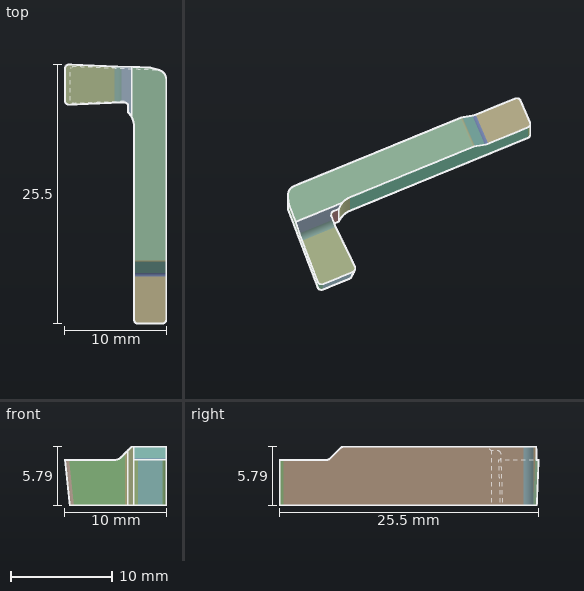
import cadquery as cq
import math

length_x = 10.0
length_y = 25.55
height = 5.79

shank_width = 3.2
shank_left = length_x - shank_width
shank_end_radius = 0.4

blend_radius = 2.0
blend_angle = math.radians(45)
blend_start_y = 19.43
shoulder_x = shank_left - blend_radius * (1 - math.cos(blend_angle))
shoulder_y = blend_start_y + blend_radius * math.sin(blend_angle)
inner_corner_radius = 0.3

bevel_start_x = 8.4
bevel_slope = math.tan(math.radians(15))
outer_corner_radius = 1.0

cut_height = 4.49
head_width = 4.02
side_taper = math.tan(math.radians(2.5))
side_relief = math.tan(math.radians(2))
tip_relief = math.tan(math.radians(6))
tip_radius = 0.4
tip_back_y = length_y + tip_radius * side_taper
tip_front_y = tip_back_y - head_width
head_middle_y = (tip_front_y + tip_back_y) / 2

ramp_run = height - cut_height
head_ramp_foot_x = 5.28
head_ramp_foot_radius = 1.0
shank_ramp_foot_y = 4.84
shank_ramp_foot_radius = 0.5
shank_ramp_top_radius = 0.3

clearance = 1.0


def head_outline(z):
    """Corners of the head section at level z; tip and sides lean inward going down."""
    rise = z - cut_height
    tip_x = -rise * tip_relief

    def side_offset(x):
        return rise * side_relief - x * side_taper

    return [
        (tip_x, tip_front_y - side_offset(tip_x)),
        (length_x, tip_front_y - side_offset(length_x)),
        (length_x, tip_back_y + side_offset(length_x)),
        (tip_x, tip_back_y + side_offset(tip_x)),
    ]


def flat_face(corners):
    """Flat face bounded by straight edges between the corners."""
    return cq.Face.makeFromWires(cq.Wire.makePolygon(corners, close=True))


def make_head():
    """Solid between the bottom and top head sections, bounded by flat faces."""
    bottom = [cq.Vector(x, y, 0) for x, y in head_outline(0)]
    top = [cq.Vector(x, y, height) for x, y in head_outline(height)]
    faces = [flat_face(bottom), flat_face(top)]
    for i in range(len(bottom)):
        faces.append(flat_face([bottom[i - 1], bottom[i], top[i], top[i - 1]]))
    return cq.Workplane(cq.Solid.makeSolid(cq.Shell.makeShell(faces)))


def make_shank():
    """Shank, blend and shoulder, reaching up to the middle of the head."""
    half_angle = blend_angle / 2
    blend_middle = (
        shank_left - blend_radius * (1 - math.cos(half_angle)),
        blend_start_y + blend_radius * math.sin(half_angle),
    )
    return (
        cq.Workplane("XY")
        .moveTo(shank_left, 0)
        .lineTo(length_x, 0)
        .lineTo(length_x, head_middle_y)
        .lineTo(shoulder_x, head_middle_y)
        .lineTo(shoulder_x, shoulder_y)
        .threePointArc(blend_middle, (shank_left, blend_start_y))
        .close()
        .extrude(height)
    )


def bevel_y(x):
    """Back edge of the bevel at x, continued as a straight line."""
    start_y = tip_back_y + ramp_run * side_relief - bevel_start_x * side_taper
    return start_y - (x - bevel_start_x) * bevel_slope


def cut_outer_bevel(body):
    far_x = length_x + clearance
    far_y = length_y + clearance
    near_x = bevel_start_x - clearance
    cutter = (
        cq.Workplane("XY")
        .moveTo(near_x, bevel_y(near_x))
        .lineTo(far_x, bevel_y(far_x))
        .lineTo(far_x, far_y)
        .lineTo(near_x, far_y)
        .close()
        .extrude(height)
    )
    return body.cut(cutter)


def round_upright_edge(body, x, y, radius):
    """Round the upright edge whose midpoint is nearest to (x, y)."""
    edge = cq.selectors.NearestToPointSelector((x, y, height / 2))
    return body.edges("%LINE").edges("not(#Z)").edges(edge).fillet(radius)


def round_upright_edges(body):
    body = round_upright_edge(body, shoulder_x, tip_front_y, inner_corner_radius)
    body = round_upright_edge(body, length_x, bevel_y(length_x), outer_corner_radius)
    for y in (tip_front_y, tip_back_y):
        body = round_upright_edge(body, 0, y, tip_radius)
    for x in (shank_left, length_x):
        body = round_upright_edge(body, x, 0, shank_end_radius)
    return body


def head_step_cutter():
    """Space above the head: flat floor, rounded foot, 45 degree ramp."""
    ramp_reach = ramp_run + clearance
    cutter = (
        cq.Workplane("XZ", origin=(0, length_y + clearance, 0))
        .moveTo(-clearance, cut_height)
        .lineTo(head_ramp_foot_x, cut_height)
        .lineTo(head_ramp_foot_x + ramp_reach, cut_height + ramp_reach)
        .lineTo(-clearance, cut_height + ramp_reach)
        .close()
        .extrude(length_y + 2 * clearance)
    )
    foot = cq.selectors.NearestToPointSelector((head_ramp_foot_x, length_y / 2, cut_height))
    return cutter.edges("|Y").edges(foot).fillet(head_ramp_foot_radius)


def cut_shank_step(body):
    """Lower the free end of the shank, with a ramp rounded at foot and top."""
    ramp_reach = ramp_run + clearance
    cutter = (
        cq.Workplane("YZ")
        .moveTo(-clearance, cut_height)
        .lineTo(shank_ramp_foot_y, cut_height)
        .lineTo(shank_ramp_foot_y + ramp_reach, cut_height + ramp_reach)
        .lineTo(-clearance, cut_height + ramp_reach)
        .close()
        .extrude(length_x + clearance)
    )
    middle_x = (shank_left + length_x) / 2
    foot = cq.selectors.NearestToPointSelector((middle_x, shank_ramp_foot_y, cut_height))
    top = cq.selectors.NearestToPointSelector((middle_x, shank_ramp_foot_y + ramp_run, height))
    body = body.cut(cutter)
    body = body.edges("|X").edges(foot).fillet(shank_ramp_foot_radius)
    return body.edges("|X").edges(top).fillet(shank_ramp_top_radius)


body = make_head().union(make_shank())
body = cut_outer_bevel(body)
body = round_upright_edges(body)
body = cut_shank_step(body)
result = body.cut(head_step_cutter())